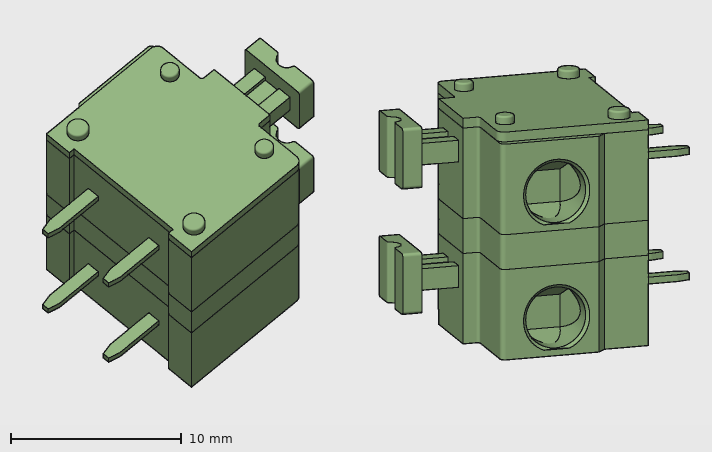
import cadquery as cq

HALF_WIDTH = 6.0
SHOULDER_Y = 9.2
NECK_Y = 10.22
NECK_HALF_WIDTH = 2.31
FOOT_GAP_HALF_WIDTH = 4.1
FOOT_HEIGHT = 0.38
SHOULDER_RADIUS = 0.49
NECK_ROOT_RADIUS = 0.2

ENTRY_RAISE = 0.49
ENTRY_START_Y = 2.71
ENTRY_RADIUS = 0.3
ENTRY_FACE_X = -HALF_WIDTH - ENTRY_RAISE

MODULE_HEIGHT = 5.5
SPACER_HEIGHT = 2.12
COVER_HEIGHT = 0.6
MODULE_PITCH = MODULE_HEIGHT + SPACER_HEIGHT
COVER_BASE_Z = MODULE_PITCH + MODULE_HEIGHT

WIRE_HOLE_Y = 5.81
WIRE_HOLE_Z = 2.28
WIRE_HOLE_DIAMETER = 3.7
WIRE_HOLE_CHAMFER = 0.2
CHAMFER_FLOOR_DROP = 1.881
TAPER_START_DEPTH = 1.2
TAPER_LENGTH = 1.84
WINDOW_WIDTH = 2.38
WINDOW_TOP = 0.58
WINDOW_BOTTOM = -1.4

BUTTON_Z = 3.88
BUTTON_WIDTH = 4.52
BUTTON_HEIGHT = 3.7
BUTTON_THICKNESS = 1.19
BUTTON_RADIUS = 0.2
STEM_WIDTH = 2.94
STEM_HEIGHT = 1.31
STEM_LENGTH = 2.5
STEM_GROOVE_WIDTH = 1.14
STEM_GROOVE_DEPTH = 0.3
NOTCH_DIAMETER = 1.25
NOTCH_DEPTH = 0.6
NOTCH_EDGE_RADIUS = 0.2
BUTTON_BACK_Y = NECK_Y + STEM_LENGTH
BUTTON_END_Y = BUTTON_BACK_Y + BUTTON_THICKNESS

PIN_SPACING = 5.0
PIN_WIDTH = 0.82
PIN_TIP_WIDTH = 0.45
PIN_THICKNESS = 0.42
PIN_Z = 3.06
PIN_END_Y = -3.59
PIN_TAPER_LENGTH = 0.77

PEG_HEIGHT = 0.49
PEG_EDGE_RADIUS = 0.12
FRONT_PEG = (1.3, 4.8, 1.42)
REAR_PEG = (1.1, 3.9, 8.15)

MODULE_COUNT = 2
SELECT_MARGIN = 0.02


def upright_edge_box(x_min, x_max, y):
    """Selector for edges whose centres lie at the given Y, between x_min and x_max, at any height."""
    return cq.selectors.BoxSelector(
        (x_min - SELECT_MARGIN, y - SELECT_MARGIN, 0),
        (x_max + SELECT_MARGIN, y + SELECT_MARGIN, COVER_BASE_Z),
    )


def main_plate(height):
    """Plate with two feet at -Y and a central neck at +Y, with its base at Z = 0."""
    right_side = [
        (FOOT_GAP_HALF_WIDTH, FOOT_HEIGHT),
        (FOOT_GAP_HALF_WIDTH, 0),
        (HALF_WIDTH, 0),
        (HALF_WIDTH, SHOULDER_Y),
        (NECK_HALF_WIDTH, SHOULDER_Y),
        (NECK_HALF_WIDTH, NECK_Y),
    ]
    left_side = [(-x, y) for x, y in reversed(right_side)]
    plate = cq.Workplane("XY").polyline(right_side + left_side).close().extrude(height)
    return round_corner_pair(plate, NECK_HALF_WIDTH, SHOULDER_Y, NECK_ROOT_RADIUS)


def round_corner_pair(plate, half_width, y, radius):
    """Round the upright edges at both (half_width, y) and (-half_width, y)."""
    for x in (-half_width, half_width):
        plate = round_corner(plate, x, y, radius)
    return plate


def round_corner(plate, x, y, radius):
    """Round the upright edge that stands at (x, y)."""
    corner = upright_edge_box(x, x, y)
    return plate.edges("|Z").edges(corner).fillet(radius)


def housing_layer(height):
    """Main plate with the raised wire entry face."""
    entry = (
        cq.Workplane("XY")
        .polyline([
            (0, ENTRY_START_Y),
            (-HALF_WIDTH, ENTRY_START_Y),
            (ENTRY_FACE_X, ENTRY_START_Y + ENTRY_RAISE),
            (ENTRY_FACE_X, SHOULDER_Y),
            (-NECK_HALF_WIDTH - SHOULDER_RADIUS, SHOULDER_Y),
            (0, SHOULDER_Y - SHOULDER_RADIUS),
        ])
        .close()
        .extrude(height)
    )
    layer = main_plate(height).union(entry)
    layer = round_corner(layer, HALF_WIDTH, SHOULDER_Y, SHOULDER_RADIUS)
    return round_corner(layer, ENTRY_FACE_X, SHOULDER_Y, ENTRY_RADIUS)


def entry_plane(depth):
    """Plane inside the entry face at the given depth, on the hole axis; local x is +Y, local y is +Z."""
    return cq.Workplane("YZ", origin=(ENTRY_FACE_X + depth, WIRE_HOLE_Y, WIRE_HOLE_Z))


def wire_hole():
    """Round hole with a chamfered mouth that narrows to a rectangular window."""
    radius = WIRE_HOLE_DIAMETER / 2
    mouth_radius = radius + WIRE_HOLE_CHAMFER
    bore = entry_plane(0).circle(radius).extrude(TAPER_START_DEPTH + TAPER_LENGTH)
    square_part = entry_plane(0).rect(WIRE_HOLE_DIAMETER, WIRE_HOLE_DIAMETER).extrude(TAPER_START_DEPTH)
    taper = (
        entry_plane(TAPER_START_DEPTH)
        .rect(WIRE_HOLE_DIAMETER, WIRE_HOLE_DIAMETER)
        .workplane(offset=TAPER_LENGTH)
        .center(0, (WINDOW_TOP + WINDOW_BOTTOM) / 2)
        .rect(WINDOW_WIDTH, WINDOW_TOP - WINDOW_BOTTOM)
        .loft(ruled=True)
    )
    mouth = (
        entry_plane(0)
        .circle(mouth_radius)
        .workplane(offset=WIRE_HOLE_CHAMFER)
        .circle(radius)
        .loft()
    )
    mouth_limit = (
        entry_plane(0)
        .center(0, mouth_radius - CHAMFER_FLOOR_DROP)
        .rect(2 * mouth_radius, 2 * mouth_radius)
        .extrude(WIRE_HOLE_CHAMFER)
    )
    return bore.intersect(square_part.union(taper)).union(mouth.intersect(mouth_limit))


def button():
    """Notched push button on a grooved stem that is rooted in the neck."""
    head = (
        cq.Workplane("XZ", origin=(0, BUTTON_END_Y, BUTTON_Z))
        .rect(BUTTON_WIDTH, BUTTON_HEIGHT)
        .extrude(BUTTON_THICKNESS)
        .edges("|Y")
        .fillet(BUTTON_RADIUS)
    )
    notch_radius = NOTCH_DIAMETER / 2
    notch_y = BUTTON_END_Y - NOTCH_DEPTH + notch_radius
    notch = (
        cq.Workplane("XY", origin=(0, notch_y, BUTTON_Z))
        .circle(notch_radius)
        .extrude(BUTTON_HEIGHT, both=True)
    )
    head = head.cut(notch)
    notch_edges = upright_edge_box(-notch_radius, notch_radius, BUTTON_END_Y)
    head = head.edges("|Z").edges(notch_edges).fillet(NOTCH_EDGE_RADIUS)
    stem_plane = cq.Workplane("XZ", origin=(0, BUTTON_BACK_Y, BUTTON_Z))
    stem = stem_plane.rect(STEM_WIDTH, STEM_HEIGHT).extrude(STEM_LENGTH)
    groove = (
        stem_plane
        .center(0, (STEM_HEIGHT - STEM_GROOVE_DEPTH) / 2)
        .rect(STEM_GROOVE_WIDTH, STEM_GROOVE_DEPTH)
        .extrude(STEM_LENGTH)
    )
    return head.union(stem.cut(groove))


def solder_pin(x):
    """Flat pin with a tapered tip, pointing to -Y."""
    half_width = PIN_WIDTH / 2
    half_tip = PIN_TIP_WIDTH / 2
    taper_y = PIN_END_Y + PIN_TAPER_LENGTH
    return (
        cq.Workplane("XY", origin=(x, 0, PIN_Z - PIN_THICKNESS / 2))
        .polyline([
            (-half_width, FOOT_HEIGHT),
            (-half_width, taper_y),
            (-half_tip, PIN_END_Y),
            (half_tip, PIN_END_Y),
            (half_width, taper_y),
            (half_width, FOOT_HEIGHT),
        ])
        .close()
        .extrude(PIN_THICKNESS)
    )


def terminal_module(base_z):
    """One terminal: housing layer with wire hole, button and two solder pins."""
    module = housing_layer(MODULE_HEIGHT).cut(wire_hole()).union(button())
    for x in (-PIN_SPACING / 2, PIN_SPACING / 2):
        module = module.union(solder_pin(x))
    return module.translate((0, 0, base_z))


def cover_plate():
    """Closing plate with four rounded locating pegs."""
    cover = round_corner_pair(main_plate(COVER_HEIGHT), HALF_WIDTH, SHOULDER_Y, SHOULDER_RADIUS)
    for diameter, x, y in (FRONT_PEG, REAR_PEG):
        pegs = (
            cq.Workplane("XY", origin=(0, 0, COVER_HEIGHT))
            .pushPoints([(-x, y), (x, y)])
            .circle(diameter / 2)
            .extrude(PEG_HEIGHT)
            .faces(">Z")
            .edges()
            .fillet(PEG_EDGE_RADIUS)
        )
        cover = cover.union(pegs)
    return cover.translate((0, 0, COVER_BASE_Z))


modules = [terminal_module(level * MODULE_PITCH) for level in range(MODULE_COUNT)]
spacer = housing_layer(SPACER_HEIGHT).translate((0, 0, MODULE_HEIGHT))
cover = cover_plate()

result = cq.Compound.makeCompound([*[module.val() for module in modules], spacer.val(), cover.val()])